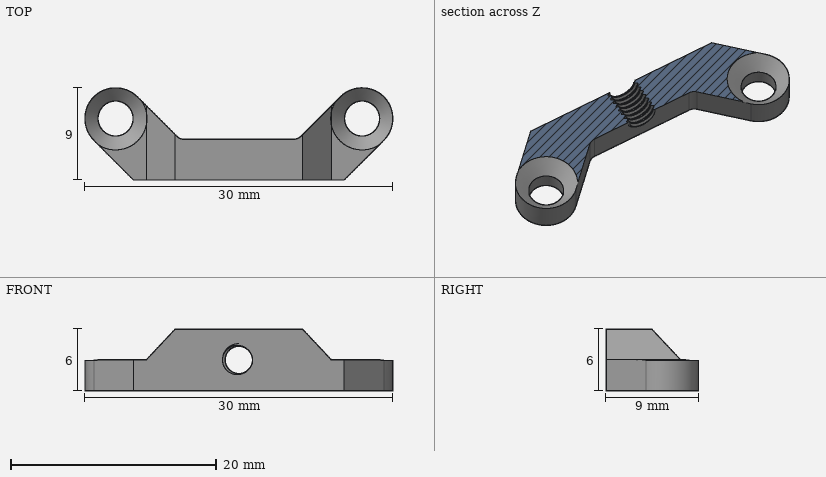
import cadquery as cq
import math

length = 30.0
depth = 9.0
height = 6.0
ear_radius = 3.0
ear_height = 3.03
bar_thickness = 4.0
inner_corner_radius = 1.0
ramp_foot_x = 9.0
ramp_top_x = 6.2

screw_hole_diameter = 3.4
countersink_radius = 3.05

thread_minor_radius = 1.32
thread_major_radius = 1.6
thread_pitch = 0.5
thread_root_flat = 0.05
thread_flank_angle = 30.0
thread_overlap = 0.03
thread_height = height / 2

front_y = -depth / 2
back_y = front_y + bar_thickness
ear_x = length / 2 - ear_radius
ear_y = depth / 2 - ear_radius
tangent_offset = ear_radius * math.sqrt(0.5)
outer_tangent = (ear_x + tangent_offset, ear_y - tangent_offset)
inner_tangent = (ear_x - tangent_offset, ear_y + tangent_offset)
front_corner_x = outer_tangent[0] - (outer_tangent[1] - front_y)
inner_corner_x = inner_tangent[0] - (inner_tangent[1] - back_y)


def make_plan():
    """Bar with two arms at 45 degrees, each ending in a round ear."""
    ear_tip = (ear_x + tangent_offset, ear_y + tangent_offset)
    plan = (
        cq.Workplane("XY")
        .moveTo(-front_corner_x, front_y)
        .lineTo(front_corner_x, front_y)
        .lineTo(*outer_tangent)
        .threePointArc(ear_tip, inner_tangent)
        .lineTo(inner_corner_x, back_y)
        .lineTo(-inner_corner_x, back_y)
        .lineTo(-inner_tangent[0], inner_tangent[1])
        .threePointArc((-ear_tip[0], ear_tip[1]), (-outer_tangent[0], outer_tangent[1]))
        .close()
        .extrude(height)
    )
    margin = 0.3
    inner_corners = cq.selectors.BoxSelector(
        (-inner_corner_x - margin, back_y - margin, 0),
        (inner_corner_x + margin, back_y + margin, height),
    )
    return plan.edges("|Z").edges(inner_corners).fillet(inner_corner_radius)


def make_side_profile():
    """Low ears rising by ramps to the tall middle, swept through the depth."""
    half_length = length / 2
    return (
        cq.Workplane("XZ")
        .polyline([
            (-half_length, 0),
            (half_length, 0),
            (half_length, ear_height),
            (ramp_foot_x, ear_height),
            (ramp_top_x, height),
            (-ramp_top_x, height),
            (-ramp_foot_x, ear_height),
            (-half_length, ear_height),
        ])
        .close()
        .extrude(depth / 2, both=True)
    )


def make_screw_hole(x):
    """Through hole with a 90 degree countersink, open upward at the ear face."""
    hole_radius = screw_hole_diameter / 2
    cone_bottom = ear_height - (countersink_radius - hole_radius)
    return (
        cq.Workplane("XZ")
        .polyline([
            (0, 0),
            (hole_radius, 0),
            (hole_radius, cone_bottom),
            (countersink_radius, ear_height),
            (0, ear_height),
        ])
        .close()
        .revolve(360, (0, 0), (0, 1))
        .translate((x, ear_y, 0))
    )


def make_threaded_hole():
    """Bore and right-hand V groove, built along Z and turned onto the Y axis.

    The half turn makes the groove break out of the front face on the -X side.
    """
    run_out = thread_pitch
    groove_length = bar_thickness + 2 * run_out
    bore = cq.Workplane("XY").circle(thread_minor_radius).extrude(groove_length)

    inner_radius = thread_minor_radius - thread_overlap
    groove_depth = thread_major_radius - inner_radius
    root_half = thread_root_flat / 2
    mouth_half = root_half + groove_depth * math.tan(math.radians(thread_flank_angle))
    helix = cq.Wire.makeHelix(thread_pitch, groove_length, thread_minor_radius)
    groove = (
        cq.Workplane("XZ")
        .polyline([
            (inner_radius, -mouth_half),
            (thread_major_radius, -root_half),
            (thread_major_radius, root_half),
            (inner_radius, mouth_half),
        ])
        .close()
        .sweep(cq.Workplane(helix), isFrenet=True)
    )

    def place(cutter):
        half_turn = cutter.rotate((0, 0, 0), (0, 0, 1), 180)
        turned = half_turn.rotate((0, 0, 0), (1, 0, 0), -90)
        return turned.translate((0, front_y - run_out, thread_height))

    return place(groove), place(bore)


result = make_plan().intersect(make_side_profile())
for ear_centre_x in (-ear_x, ear_x):
    result = result.cut(make_screw_hole(ear_centre_x))
for cutter in make_threaded_hole():
    result = result.cut(cutter)